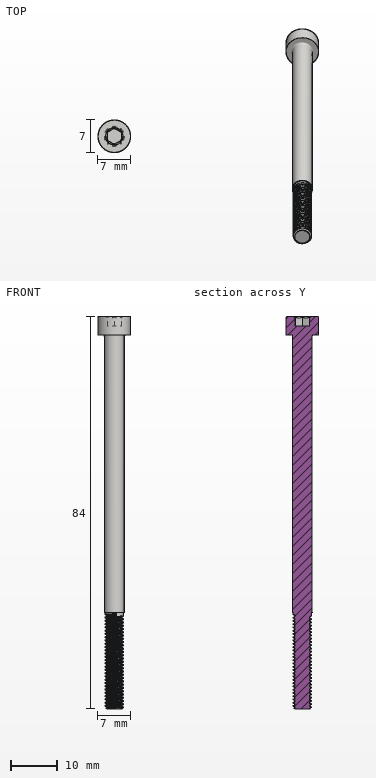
import cadquery as cq
import math

head_diameter = 7.0
head_height = 4.0
head_rim_fillet = 0.2
socket_across_flats = 3.0
socket_depth = 2.0
socket_mouth_diameter = 3.7
screw_length = 80.0
shank_diameter = 4.3
shank_length = 59.3
underhead_fillet = 0.2
thread_diameter = 4.0
thread_pitch = 0.7
root_flat = thread_pitch / 4
crest_flat = thread_pitch / 8
flank_angle = 30
neck_length = 0.2
end_chamfer = 0.4
groove_overlap = 0.05

socket_across_corners = socket_across_flats / math.cos(math.pi / 6)
flank_slope = math.tan(math.radians(flank_angle))
thread_depth = (thread_pitch - crest_flat - root_flat) / (2 * flank_slope)
head_top = head_height
shank_end = -shank_length
screw_end = -screw_length


def cylinder(diameter, bottom, top):
    return cq.Workplane("XY").workplane(offset=bottom).circle(diameter / 2).extrude(top - bottom)


def make_head():
    return cylinder(head_diameter, 0, head_top).faces(">Z").edges().fillet(head_rim_fillet)


def make_shank():
    """Plain shank, flared by a small fillet where it meets the head."""
    radius = shank_diameter / 2
    return (
        cq.Workplane("XZ")
        .moveTo(0, 0)
        .lineTo(radius + underhead_fillet, 0)
        .radiusArc((radius, -underhead_fillet), -underhead_fillet)
        .lineTo(radius, shank_end)
        .lineTo(0, shank_end)
        .close()
        .revolve(360, (0, 0, 0), (0, 1, 0))
    )


def make_socket():
    """Hexagon socket with corners on the Y axis and a conical mouth."""
    hexagon = (
        cq.Workplane("XY")
        .workplane(offset=head_top - socket_depth)
        .transformed(rotate=(0, 0, 90))
        .polygon(6, socket_across_corners)
        .extrude(socket_depth)
    )
    mouth_radius = socket_mouth_diameter / 2
    mouth_base = cq.Vector(0, 0, head_top)
    downward = cq.Vector(0, 0, -1)
    mouth = cq.Solid.makeCone(mouth_radius, 0, mouth_radius, mouth_base, downward)
    return hexagon.union(cq.Workplane(mouth))


def make_thread_groove():
    """Right-hand V groove, from one pitch past the screw end up to the neck."""
    start = screw_end - thread_pitch
    groove_top = shank_end - neck_length - thread_pitch / 2
    root_radius = thread_diameter / 2 - thread_depth
    outer_radius = thread_diameter / 2 + groove_overlap
    root_half = root_flat / 2
    mouth_half = root_half + (outer_radius - root_radius) * flank_slope
    helix = cq.Wire.makeHelix(thread_pitch, groove_top - start, root_radius, cq.Vector(0, 0, start))
    return (
        cq.Workplane("XZ")
        .polyline([
            (root_radius, start - root_half),
            (outer_radius, start - mouth_half),
            (outer_radius, start + mouth_half),
            (root_radius, start + root_half),
        ])
        .close()
        .sweep(cq.Workplane(helix), isFrenet=True)
    )


def make_threaded_end():
    blank = cylinder(thread_diameter, screw_end, shank_end).faces("<Z").edges().chamfer(end_chamfer)
    return blank.cut(make_thread_groove())


result = make_head().cut(make_socket()).union(make_shank()).union(make_threaded_end())